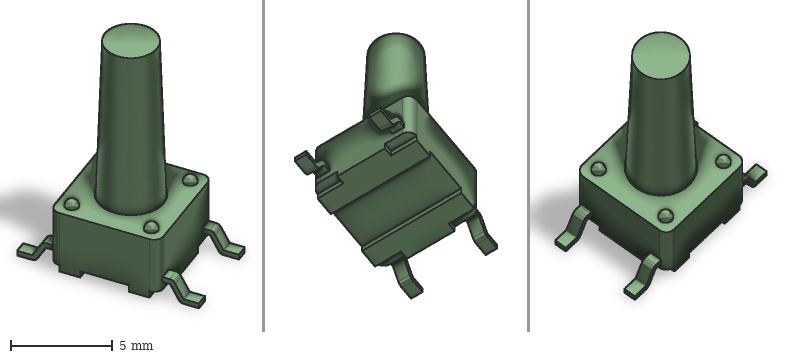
import cadquery as cq
import math

total_height = 13.1
lead_span = 10.0

housing_width = 6.0
housing_height = 3.6
standoff = 0.1
corner_radius = 0.52
housing_top = standoff + housing_height
half_width = housing_width / 2

relief_height = 0.39
groove_width = 2.67
notch_spacing_y = 2.88

dome_diameter = 0.75
dome_spacing = 4.38

stem_top_diameter = 2.87
stem_base_diameter = 3.6
stem_hole_depth = 1.57
stem_base_z = housing_top - stem_hole_depth

lead_thickness = 0.3
lead_width = 0.7
lead_spacing_y = 4.5
lead_top_z = 1.28
foot_length = 0.81
bend_inner_radius = 0.05
lead_angle = math.radians(60)


def block(x_min, x_max, y_min, y_max, z_min, z_max):
    """Box given by its limits along each axis."""
    size = (x_max - x_min, y_max - y_min, z_max - z_min)
    return cq.Workplane("XY").box(*size, centered=False).translate((x_min, y_min, z_min))


def corner_notch():
    """Cutter for the notch below the +X +Y corner, reaching in as far as the corner rounding."""
    return block(
        half_width - corner_radius, half_width,
        notch_spacing_y / 2, half_width,
        standoff, standoff + relief_height,
    )


def housing_block():
    """Rounded block with the underside groove, the corner notches and the stem hole."""
    body = (
        cq.Workplane("XY")
        .workplane(offset=standoff)
        .rect(housing_width, housing_width)
        .extrude(housing_height)
        .edges("|Z")
        .fillet(corner_radius)
    )
    groove = block(
        -groove_width / 2, groove_width / 2,
        -half_width, half_width,
        standoff, standoff + relief_height,
    )
    body = body.cut(groove)

    notch = corner_notch()
    notch_pair = notch.union(notch.mirror("YZ"))
    body = body.cut(notch_pair).cut(notch_pair.mirror("XZ"))

    stem_hole = (
        cq.Workplane("XY")
        .workplane(offset=stem_base_z)
        .circle(stem_base_diameter / 2)
        .extrude(stem_hole_depth)
    )
    return body.cut(stem_hole)


def lead(y_center):
    """Lead on the -X side: a flat foot, a sloping web and an arm that enters the housing."""
    tip_x = -lead_span / 2
    root_x = -half_width + corner_radius
    outer_radius = bend_inner_radius + lead_thickness
    arm_bottom_z = lead_top_z - lead_thickness

    foot_bend_x = tip_x + foot_length
    foot_bend_z = outer_radius
    arm_bend_z = lead_top_z - outer_radius
    rise = arm_bend_z - foot_bend_z
    run = (bend_inner_radius + outer_radius + rise * math.cos(lead_angle)) / math.sin(lead_angle)
    arm_bend_x = foot_bend_x + run

    def on_foot_bend(radius, angle):
        """Point on the foot bend, at an angle turned from straight below its centre."""
        return foot_bend_x + radius * math.sin(angle), foot_bend_z - radius * math.cos(angle)

    def on_arm_bend(radius, angle):
        """Point on the arm bend, at an angle turned from straight above its centre."""
        return arm_bend_x - radius * math.sin(angle), arm_bend_z + radius * math.cos(angle)

    half_angle = lead_angle / 2
    return (
        cq.Workplane("XZ", origin=(0, y_center + lead_width / 2, 0))
        .moveTo(tip_x, 0)
        .lineTo(foot_bend_x, 0)
        .threePointArc(on_foot_bend(outer_radius, half_angle), on_foot_bend(outer_radius, lead_angle))
        .lineTo(*on_arm_bend(bend_inner_radius, lead_angle))
        .threePointArc(on_arm_bend(bend_inner_radius, half_angle), on_arm_bend(bend_inner_radius, 0))
        .lineTo(root_x, arm_bottom_z)
        .lineTo(root_x, lead_top_z)
        .lineTo(arm_bend_x, lead_top_z)
        .threePointArc(on_arm_bend(outer_radius, half_angle), on_arm_bend(outer_radius, lead_angle))
        .lineTo(*on_foot_bend(bend_inner_radius, lead_angle))
        .threePointArc(on_foot_bend(bend_inner_radius, half_angle), on_foot_bend(bend_inner_radius, 0))
        .lineTo(tip_x, lead_thickness)
        .close()
        .extrude(lead_width)
    )


def make_housing():
    """Housing with its four domes and four leads as one solid."""
    body = housing_block()
    for side_x in (-1, 1):
        for side_y in (-1, 1):
            dome_center = (side_x * dome_spacing / 2, side_y * dome_spacing / 2, housing_top)
            dome = cq.Workplane("XY").sphere(dome_diameter / 2).translate(dome_center)
            body = body.union(dome)

    for side_y in (-1, 1):
        left_lead = lead(side_y * lead_spacing_y / 2)
        body = body.union(left_lead).union(left_lead.mirror("YZ"))
    return body


def make_plunger():
    """Tapered stem standing on the floor of the housing's hole."""
    return (
        cq.Workplane("XZ")
        .moveTo(0, stem_base_z)
        .lineTo(stem_base_diameter / 2, stem_base_z)
        .lineTo(stem_top_diameter / 2, total_height)
        .lineTo(0, total_height)
        .close()
        .revolve(360, (0, 0, 0), (0, 1, 0))
    )


housing = make_housing()
plunger = make_plunger()

result = cq.Compound.makeCompound([housing.val(), plunger.val()])